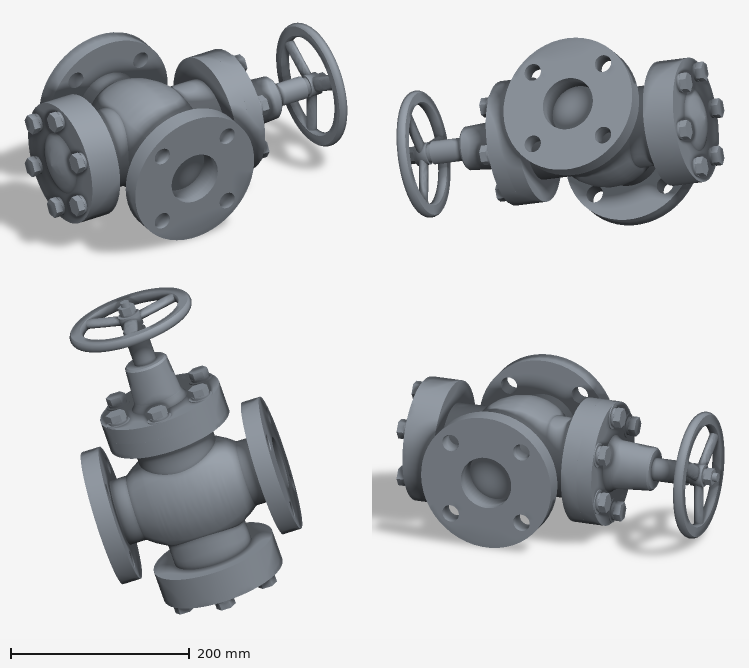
import cadquery as cq


length_x = 210.0
length_y = 362.0

end_flange_radius = 77.5
end_flange_thickness = 21.0
nozzle_radius = 37.5
bulb_half_length = 64.8
bulb_radius = 60.8
bore_radius = 30.0
bore_depth = 30.0
pipe_bolt_hole_radius = 9.8
pipe_bolt_circle_radius = 59.7
pipe_bolt_count = 4

branch_radius = 45.2
flange_radius = 70.2
flange_inner_y = 76.5
flange_outer_y = 112.5
joint_y = 95.0
dome_radius = 35.0
dome_height = 11.5
dome_bulge = 1.0

bolt_count = 6
bolt_circle_radius = 56.0
bolt_head_radius = 11.2
bolt_head_height = 8.0
bolt_collar_radius = 10.5
bolt_collar_height = 3.0
washer_radius = 13.8
washer_thickness = 1.0

bonnet_root_radius = 32.5
bonnet_base_radius = 27.5
bonnet_top_radius = 24.5
bonnet_base_y = 121.5
bonnet_top_y = 163.3
bonnet_chamfer = 2.0
root_bulge = 0.7

stem_radius = 13.0
stem_neck_radius = 10.5
stem_top_y = 202.7
stem_tip_radius = 5.0
stem_tip_y = length_y - flange_outer_y - dome_height
nut_radius = 9.8
nut_bottom_y = 224.0
nut_height = 8.5
nut_collar_radius = 8.7

wheel_y = 215.0
wheel_radius = 71.5
rim_outer_edge_radius = 69.0
rim_inner_edge_radius = 58.3
rim_bulge = wheel_radius - rim_outer_edge_radius
rim_thickness = 10.5
hub_radius = 12.5
hub_length = 14.5
spoke_count = 3
spoke_half_width = 8.5
spoke_half_thickness = 4.7


def cylinder_y(radius, y_start, y_end):
    """Cylinder on the Y axis between two Y positions."""
    return cq.Workplane("XZ", origin=(0, y_start, 0)).circle(radius).extrude(y_start - y_end)


def hexagon_y(radius, y_start, y_end):
    """Hexagonal prism on the Y axis with two of its corners along X."""
    return cq.Workplane("XZ", origin=(0, y_start, 0)).polygon(6, 2 * radius).extrude(y_start - y_end)


def spin_about_y(profile):
    """Revolve a YZ profile of (y, radius) points about the Y axis."""
    return profile.close().revolve(360, (0, 0, 0), (1, 0, 0))


def pipe_line():
    """End flanges, nozzles and the bulging middle, all round the X axis."""
    end_x = length_x / 2
    flange_x = end_x - end_flange_thickness
    profile = (
        cq.Workplane("XZ")
        .moveTo(-end_x, 0)
        .lineTo(-end_x, end_flange_radius)
        .lineTo(-flange_x, end_flange_radius)
        .lineTo(-flange_x, nozzle_radius)
        .lineTo(-bulb_half_length, nozzle_radius)
        .threePointArc((0, bulb_radius), (bulb_half_length, nozzle_radius))
        .lineTo(flange_x, nozzle_radius)
        .lineTo(flange_x, end_flange_radius)
        .lineTo(end_x, end_flange_radius)
        .lineTo(end_x, 0)
        .close()
    )
    return profile.revolve(360, (0, 0, 0), (1, 0, 0))


def pipe_end_cuts(side):
    """Blind bore and flange bolt holes of the end at side * X."""
    face = cq.Workplane("YZ", origin=(side * length_x / 2, 0, 0))
    bore = face.circle(bore_radius).extrude(-side * bore_depth)
    holes = (
        face.polarArray(pipe_bolt_circle_radius, 180 / pipe_bolt_count, 360, pipe_bolt_count)
        .circle(pipe_bolt_hole_radius)
        .extrude(-side * end_flange_thickness)
    )
    return bore.union(holes)


def dome():
    """Shallow dome on the front flange, rising in a slightly bulged slope to a blunt point."""
    rim_y = -flange_outer_y
    tip_y = rim_y - dome_height
    slope_middle = ((rim_y + tip_y) / 2 - dome_bulge, dome_radius / 2 + dome_bulge)
    profile = (
        cq.Workplane("YZ")
        .moveTo(tip_y, 0)
        .threePointArc(slope_middle, (rim_y, dome_radius))
        .lineTo(rim_y, 0)
    )
    return spin_about_y(profile)


def bolt(seat_y, side):
    """Bolt head and its collar on the Y axis, standing on seat_y and pointing to side * Y."""
    collar_y = seat_y + side * bolt_collar_height
    collar = cylinder_y(bolt_collar_radius, seat_y, collar_y)
    return collar.union(hexagon_y(bolt_head_radius, collar_y, collar_y + side * bolt_head_height))


def bolt_ring(shape):
    """Copies of a shape evenly spaced round the flange bolt circle, as one Workplane per copy."""
    placed = shape.translate((0, 0, bolt_circle_radius))
    pitch = 360 / bolt_count
    return [placed.rotate((0, 0, 0), (0, 1, 0), i * pitch) for i in range(bolt_count)]


def make_valve_body():
    """Pipe line, both branches, the closed front flange with its bolts, and half of the rear flange."""
    body = pipe_line()
    body = body.union(cylinder_y(branch_radius, -flange_inner_y, flange_inner_y))
    body = body.union(cylinder_y(flange_radius, -flange_outer_y, -flange_inner_y))
    body = body.union(cylinder_y(flange_radius, flange_inner_y, joint_y))
    body = body.union(dome())
    for front_bolt in bolt_ring(bolt(-flange_outer_y, -1)):
        body = body.union(front_bolt)
    for side in (-1, 1):
        body = body.cut(pipe_end_cuts(side))
    return body


def bonnet_housing():
    """Rear half of the flange joint and the tapered housing with its flared root."""
    root_middle = (
        (flange_outer_y + bonnet_base_y) / 2 - root_bulge,
        (bonnet_root_radius + bonnet_base_radius) / 2 - root_bulge,
    )
    profile = (
        cq.Workplane("YZ")
        .moveTo(joint_y, 0)
        .lineTo(joint_y, flange_radius)
        .lineTo(flange_outer_y, flange_radius)
        .lineTo(flange_outer_y, bonnet_root_radius)
        .threePointArc(root_middle, (bonnet_base_y, bonnet_base_radius))
        .lineTo(bonnet_top_y - bonnet_chamfer, bonnet_top_radius)
        .lineTo(bonnet_top_y, bonnet_top_radius - bonnet_chamfer)
        .lineTo(bonnet_top_y, 0)
    )
    return spin_about_y(profile)


def stem():
    """Stepped stem with the nut that holds the handwheel."""
    nut_top_y = nut_bottom_y + nut_height
    shaft = cylinder_y(stem_radius, bonnet_top_y, stem_top_y)
    shaft = shaft.union(cylinder_y(stem_neck_radius, stem_top_y, wheel_y))
    shaft = shaft.union(cylinder_y(nut_collar_radius, wheel_y, nut_bottom_y))
    shaft = shaft.union(hexagon_y(nut_radius, nut_bottom_y, nut_top_y))
    return shaft.union(cylinder_y(stem_tip_radius, nut_top_y, stem_tip_y))


def handwheel():
    """Rim with rounded outer and inner edges, hub and elliptical spokes."""
    rim_bottom_y = wheel_y - rim_thickness / 2
    rim_top_y = wheel_y + rim_thickness / 2
    wheel = spin_about_y(
        cq.Workplane("YZ")
        .moveTo(rim_bottom_y, rim_inner_edge_radius)
        .lineTo(rim_bottom_y, rim_outer_edge_radius)
        .threePointArc((wheel_y, wheel_radius), (rim_top_y, rim_outer_edge_radius))
        .lineTo(rim_top_y, rim_inner_edge_radius)
        .threePointArc(
            (wheel_y, rim_inner_edge_radius - rim_bulge),
            (rim_bottom_y, rim_inner_edge_radius),
        )
    )
    wheel = wheel.union(cylinder_y(hub_radius, wheel_y - hub_length / 2, wheel_y + hub_length / 2))
    spoke_end_radius = (rim_inner_edge_radius + rim_outer_edge_radius) / 2
    spoke = (
        cq.Workplane("XY", origin=(0, wheel_y, 0))
        .ellipse(spoke_half_width, spoke_half_thickness)
        .extrude(-spoke_end_radius)
    )
    for i in range(spoke_count):
        wheel = wheel.union(spoke.rotate((0, 0, 0), (0, 1, 0), i * 360 / spoke_count))
    return wheel


def make_bonnet():
    """Bonnet housing with its washers and bolts, the stem and the handwheel."""
    seat_y = flange_outer_y + washer_thickness
    washer = cylinder_y(washer_radius, flange_outer_y, seat_y)
    bonnet = bonnet_housing()
    for rear_bolt in bolt_ring(washer.union(bolt(seat_y, 1))):
        bonnet = bonnet.union(rear_bolt)
    return bonnet.union(stem()).union(handwheel())


valve_body = make_valve_body()
bonnet = make_bonnet()

result = cq.Compound.makeCompound([valve_body.val(), bonnet.val()])